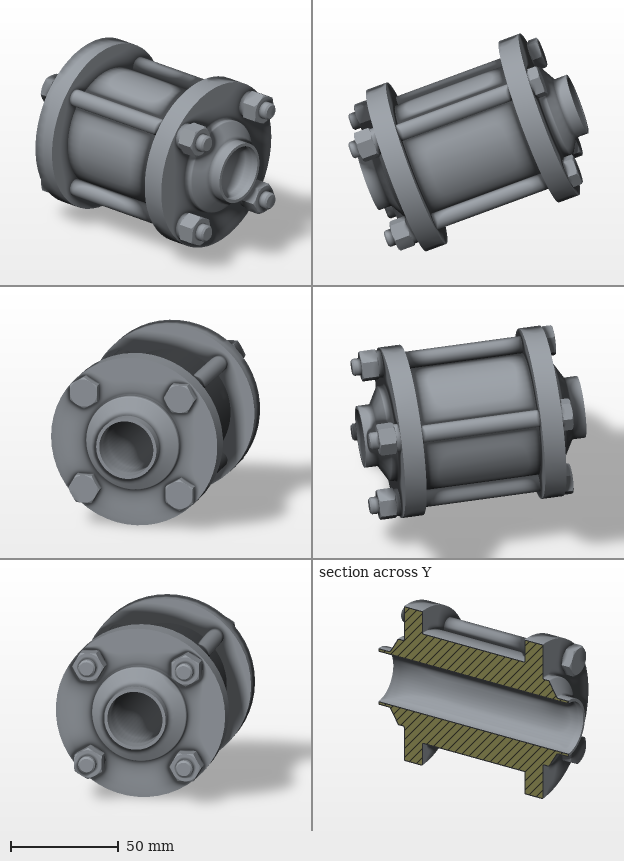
import cadquery as cq
import math

overall_length = 104.0
flange_span = 76.0
flange_diameter = 80.0
flange_thickness = 10.0
barrel_diameter = 57.0
bore_diameter = 26.0

pipe_diameter = 29.0
hub_diameter = 44.6
hub_length = 3.3
cone_angle = 60.0
neck_fillet = 0.8
selection_margin = 0.1

bolt_count = 4
bolt_circle_diameter = 65.0
shank_diameter = 8.0
shank_chamfer = 0.8
hex_sides = 6
hex_across_flats = 13.0
hex_chamfer_angle = 30.0
collar_diameter = 12.8
head_collar_thickness = 0.6
head_height = 4.7
washer_thickness = 2.0
nut_height = 8.0

end_x = overall_length / 2
flange_outer_x = flange_span / 2
flange_inner_x = flange_outer_x - flange_thickness
flange_radius = flange_diameter / 2
barrel_radius = barrel_diameter / 2
pipe_radius = pipe_diameter / 2
hub_radius = hub_diameter / 2
cone_large_x = flange_outer_x + hub_length
cone_small_x = cone_large_x + (hub_radius - pipe_radius) / math.tan(math.radians(cone_angle))

bolt_circle_radius = bolt_circle_diameter / 2
first_bolt_angle = 45.0
bolt_spacing = 360.0 / bolt_count
bolt_offset = bolt_circle_radius * math.cos(math.radians(first_bolt_angle))
hex_across_corners = hex_across_flats / math.cos(math.pi / hex_sides)
hex_chamfer_width = (hex_across_corners - hex_across_flats) / 2
hex_chamfer_depth = hex_chamfer_width * math.tan(math.radians(hex_chamfer_angle))


def cylinder_x(diameter, start_x, length):
    """Cylinder on the X axis, running from start_x toward +X."""
    return cq.Workplane("YZ", origin=(start_x, 0, 0)).circle(diameter / 2).extrude(length)


def placed_around(shape):
    """Copies of a shape built on the X axis, one at each bolt position."""
    first = shape.translate((0, bolt_offset, bolt_offset))
    return [first.rotate((0, 0, 0), (1, 0, 0), i * bolt_spacing) for i in range(bolt_count)]


def make_housing():
    half_profile = [
        (0, 0),
        (0, barrel_radius),
        (flange_inner_x, barrel_radius),
        (flange_inner_x, flange_radius),
        (flange_outer_x, flange_radius),
        (flange_outer_x, hub_radius),
        (cone_large_x, hub_radius),
        (cone_small_x, pipe_radius),
        (end_x, pipe_radius),
        (end_x, 0),
    ]
    half = cq.Workplane("XY").polyline(half_profile).close().revolve(360, (0, 0, 0), (1, 0, 0))

    for corner_x, corner_radius in (
        (flange_outer_x, hub_radius),
        (cone_large_x, hub_radius),
        (cone_small_x, pipe_radius),
    ):
        reach = corner_radius + selection_margin
        corner_zone = cq.selectors.BoxSelector(
            (corner_x - selection_margin, -reach, -reach),
            (corner_x + selection_margin, reach, reach),
            boundingbox=True,
        )
        half = half.edges(corner_zone).edges("%CIRCLE").fillet(neck_fillet)

    housing = half.union(half.mirror("YZ"))
    housing = housing.cut(cylinder_x(bore_diameter, -end_x, overall_length))
    for hole in placed_around(cylinder_x(shank_diameter, -flange_outer_x, flange_span)):
        housing = housing.cut(hole)
    return housing.solids()


def make_hex(start_x, height, chamfer_start, chamfer_end):
    """Hexagonal prism along X with two corners along Z and its end corners turned off."""
    prism = (
        cq.Workplane("YZ", origin=(start_x, 0, 0))
        .polygon(hex_sides, hex_across_corners)
        .extrude(height)
        .rotate((0, 0, 0), (1, 0, 0), 90)
    )
    turned = cylinder_x(hex_across_corners, start_x, height)
    if chamfer_start:
        turned = turned.faces("<X").chamfer(hex_chamfer_depth, hex_chamfer_width)
    if chamfer_end:
        turned = turned.faces(">X").chamfer(hex_chamfer_depth, hex_chamfer_width)
    return prism.intersect(turned)


def make_bolt():
    head_collar_x = -flange_outer_x - head_collar_thickness
    head_x = head_collar_x - head_height
    nut_x = flange_outer_x + washer_thickness

    shank = cylinder_x(shank_diameter, head_collar_x, end_x - head_collar_x)
    shank = shank.faces(">X").chamfer(shank_chamfer)
    head = make_hex(head_x, head_height, True, False)
    head_collar = cylinder_x(collar_diameter, head_collar_x, head_collar_thickness)
    washer = cylinder_x(collar_diameter, flange_outer_x, washer_thickness)
    nut = make_hex(nut_x, nut_height, True, True)
    bolt = head.union(head_collar).union(shank).union(washer).union(nut)
    return bolt.solids()


housing = make_housing()
bolts = placed_around(make_bolt())

result = cq.Compound.makeCompound([housing.val(), *[bolt.val() for bolt in bolts]])